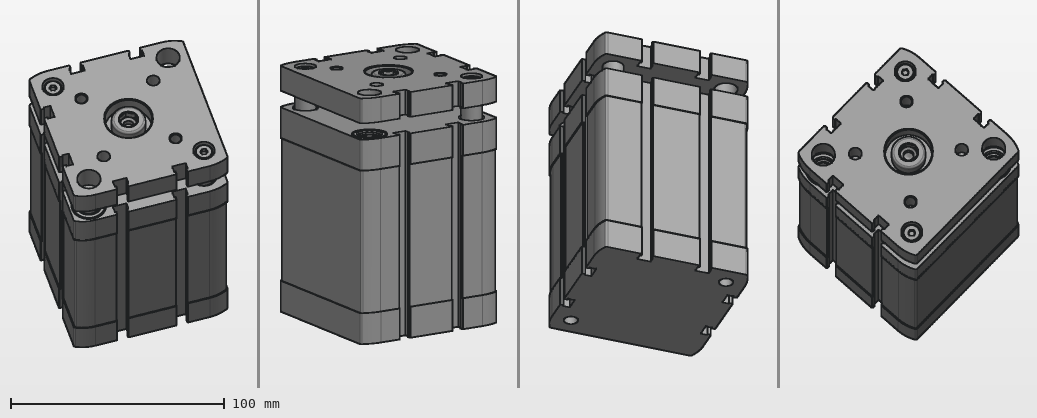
import cadquery as cq
import math

TOTAL_HEIGHT = 119.0
PLATE_THICKNESS = 12.0
PLATE_GAP = 8.0
CAP_HEIGHT = 15.0
PLATE_BOTTOM = TOTAL_HEIGHT - PLATE_THICKNESS
HOUSING_HEIGHT = PLATE_BOTTOM - PLATE_GAP

SIDE = 75.5
BARREL_INSET = 0.5
CORNER_START = 28.1
CORNER_RADIUS = 20.2
CORNER_BLEND = 1.2

SLOT_OFFSET = 14.5
SLOT_DEPTH = 5.0
NECK_WIDTH = 5.2
NECK_DEPTH = 1.8
SLOT_WIDTH = 6.7
NECK_CHAMFER = 0.4

ROD_OFFSET = 28.2
GUIDE_DIAMETER = 10.0
GUIDE_HEAD_DIAMETER = 8.5
GUIDE_HEAD_HEIGHT = 5.0
GUIDE_HEAD_CHAMFER = 0.5
GUIDE_RECESS = 1.0
GUIDE_SOCKET_FLATS = 3.0
GUIDE_SOCKET_DEPTH = 2.0
GUIDE_SOCKET_TURN = 15.0
GUIDE_HOLE_RIM = 12.0
ROD_DEPTH = CAP_HEIGHT

PISTON_ROD_DIAMETER = 16.0
PISTON_ROD_ROUNDING = 1.1
PISTON_ROD_RECESS = 0.7
WRENCH_FLATS = 13.0
WRENCH_FLAT_BASE = 0.7
WRENCH_RUNOUT_RISE = 0.5
PISTON_SOCKET_FLATS = 8.0
PISTON_SOCKET_DEPTH = 3.7
PISTON_SOCKET_MOUTH = 9.2
PISTON_DRILL_DIAMETER = 5.0
PISTON_DRILL_DEPTH = 7.1
DRILL_HALF_ANGLE = math.radians(59)

BORE_DIAMETER = 22.0
BORE_DEPTH = 7.6
BORE_CHAMFER = 0.5
ACCESS_DIAMETER = 11.0
SMALL_OFFSET = 17.6
SMALL_DIAMETER = 6.0
THREAD_DIAMETER = 5.0

GROOVE_OUTER_DIAMETER = 16.4
GROOVE_INNER_DIAMETER = 15.5
GROOVE_DEPTH = 0.5
SCREW_BORE_DIAMETER = 10.6
SCREW_BORE_RIM = 12.0
SCREW_BORE_DEPTH = 1.7
SCREW_POCKET_DIAMETER = 8.5
SCREW_POCKET_DEPTH = 3.5
SCREW_HOLE_DIAMETER = 6.7

GUIDE_DIAGONAL = [(1, 1), (-1, -1)]
SCREW_DIAGONAL = [(-1, 1), (1, -1)]


def on_diagonal(signs, offset):
    return [(sx * offset, sy * offset) for sx, sy in signs]


def cylinder(x, y, diameter, bottom, top):
    return cq.Workplane("XY", origin=(x, y, bottom)).circle(diameter / 2).extrude(top - bottom)


def cone(x, y, bottom_diameter, top_diameter, bottom, top):
    solid = cq.Solid.makeCone(
        bottom_diameter / 2, top_diameter / 2, top - bottom, cq.Vector(x, y, bottom)
    )
    return cq.Workplane(solid)


def countersink(x, y, hole_diameter, mouth_diameter, top):
    depth = (mouth_diameter - hole_diameter) / 2
    return cone(x, y, hole_diameter, mouth_diameter, top - depth, top)


def hexagon(x, y, flats, bottom, top, turn=0):
    plane = cq.Workplane("XY", origin=(x, y, bottom)).transformed(rotate=(0, 0, turn))
    return plane.polygon(6, flats / math.cos(math.pi / 6)).extrude(top - bottom)


def slot_cutter(inset, bottom, top):
    """T-slot for a -Y side that stands back by inset, centred on X = 0."""
    outside = -SIDE / 2
    face = outside + inset
    neck = NECK_WIDTH / 2
    half = SLOT_WIDTH / 2
    right = [
        (neck + NECK_CHAMFER, face),
        (neck, face + NECK_CHAMFER),
        (neck, outside + NECK_DEPTH),
        (half, outside + NECK_DEPTH),
        (half, outside + SLOT_DEPTH),
    ]
    left = [(-x, y) for x, y in reversed(right)]
    return cq.Workplane("XY", origin=(0, 0, bottom)).polyline(right + left).close().extrude(top - bottom)


def cut_slots(block, inset, bottom, top):
    """Two slots in each of the -X, -Y and +X sides."""
    for side_angle in (-90, 0, 90):
        for offset in (-SLOT_OFFSET, SLOT_OFFSET):
            cutter = slot_cutter(inset, bottom, top).translate((offset, 0, 0))
            block = block.cut(cutter.rotate((0, 0, 0), (0, 0, 1), side_angle))
    return block


def section_block(inset, bottom, top):
    """Slotted block with the square section, moved inward by inset on all sides."""
    half = SIDE / 2 - inset
    radius = CORNER_RADIUS - inset
    full_rise = half - CORNER_START

    def arc_x(rise):
        return half - radius + math.sqrt(radius**2 - rise**2)

    end_x = arc_x(full_rise)
    mid_rise = full_rise / 2
    mid_x = arc_x(mid_rise)
    block = (
        cq.Workplane("XY", origin=(0, 0, bottom))
        .moveTo(half, -CORNER_START)
        .lineTo(half, CORNER_START)
        .threePointArc((mid_x, CORNER_START + mid_rise), (end_x, half))
        .lineTo(-end_x, half)
        .threePointArc((-mid_x, CORNER_START + mid_rise), (-half, CORNER_START))
        .lineTo(-half, -CORNER_START)
        .threePointArc((-mid_x, -CORNER_START - mid_rise), (-end_x, -half))
        .lineTo(end_x, -half)
        .threePointArc((mid_x, -CORNER_START - mid_rise), (half, -CORNER_START))
        .close()
        .extrude(top - bottom)
    )
    block = block.faces(">Y or <Y").edges("|Z").fillet(CORNER_BLEND)
    return cut_slots(block, inset, bottom, top)


def guide_rod(x, y):
    top = TOTAL_HEIGHT - GUIDE_RECESS
    shoulder = top - GUIDE_HEAD_HEIGHT
    rod = cylinder(x, y, GUIDE_DIAMETER, HOUSING_HEIGHT - ROD_DEPTH, shoulder)
    head = cylinder(x, y, GUIDE_HEAD_DIAMETER, shoulder, top)
    rod = rod.union(head.faces(">Z").chamfer(GUIDE_HEAD_CHAMFER))
    socket_floor = top - GUIDE_SOCKET_DEPTH
    return rod.cut(hexagon(x, y, GUIDE_SOCKET_FLATS, socket_floor, top, GUIDE_SOCKET_TURN))


def wrench_flat_cutter():
    """Removes the -Y side of the piston rod between the housing and the plate."""
    base = HOUSING_HEIGHT + WRENCH_FLAT_BASE
    flat = -WRENCH_FLATS / 2
    outer = -PISTON_ROD_DIAMETER / 2
    outline = [
        (flat, PLATE_BOTTOM),
        (flat, base + WRENCH_RUNOUT_RISE),
        (outer, base),
        (outer, PLATE_BOTTOM),
    ]
    return cq.Workplane("YZ").polyline(outline).close().extrude(PISTON_ROD_DIAMETER / 2, both=True)


def piston_rod():
    top = TOTAL_HEIGHT - PISTON_ROD_RECESS
    rod = cylinder(0, 0, PISTON_ROD_DIAMETER, HOUSING_HEIGHT - ROD_DEPTH, top)
    rod = rod.faces(">Z").edges().fillet(PISTON_ROD_ROUNDING)
    flat = wrench_flat_cutter()
    rod = rod.cut(flat).cut(flat.mirror("XZ"))

    floor = top - PISTON_SOCKET_DEPTH
    drill_end = top - PISTON_DRILL_DEPTH
    floor_tip = floor - PISTON_SOCKET_FLATS / 2 / math.tan(DRILL_HALF_ANGLE)
    drill_tip = drill_end - PISTON_DRILL_DIAMETER / 2 / math.tan(DRILL_HALF_ANGLE)
    rod = rod.cut(hexagon(0, 0, PISTON_SOCKET_FLATS, floor, top))
    rod = rod.cut(countersink(0, 0, PISTON_SOCKET_FLATS, PISTON_SOCKET_MOUTH, top))
    rod = rod.cut(cone(0, 0, 0, PISTON_SOCKET_FLATS, floor_tip, floor))
    rod = rod.cut(cylinder(0, 0, PISTON_DRILL_DIAMETER, drill_end, floor))
    return rod.cut(cone(0, 0, 0, PISTON_DRILL_DIAMETER, drill_tip, drill_end))


def yoke_plate():
    plate = section_block(0, PLATE_BOTTOM, TOTAL_HEIGHT)
    plate = plate.cut(cylinder(0, 0, BORE_DIAMETER, TOTAL_HEIGHT - BORE_DEPTH, TOTAL_HEIGHT))
    plate = plate.cut(cylinder(0, 0, PISTON_ROD_DIAMETER, PLATE_BOTTOM, TOTAL_HEIGHT))
    plate = plate.cut(countersink(0, 0, BORE_DIAMETER, BORE_DIAMETER + 2 * BORE_CHAMFER, TOTAL_HEIGHT))
    for x, y in on_diagonal(SCREW_DIAGONAL, ROD_OFFSET):
        plate = plate.cut(cylinder(x, y, ACCESS_DIAMETER, PLATE_BOTTOM, TOTAL_HEIGHT))
    for x, y in on_diagonal(SCREW_DIAGONAL, SMALL_OFFSET):
        plate = plate.cut(cylinder(x, y, SMALL_DIAMETER, PLATE_BOTTOM, TOTAL_HEIGHT))
    for x, y in on_diagonal(GUIDE_DIAGONAL, SMALL_OFFSET):
        plate = plate.cut(cylinder(x, y, THREAD_DIAMETER, PLATE_BOTTOM, TOTAL_HEIGHT))
        plate = plate.cut(countersink(x, y, THREAD_DIAMETER, SMALL_DIAMETER, TOTAL_HEIGHT))
    for x, y in on_diagonal(GUIDE_DIAGONAL, ROD_OFFSET):
        plate = plate.cut(cylinder(x, y, GUIDE_DIAMETER, PLATE_BOTTOM, TOTAL_HEIGHT))
    return plate


def make_slider():
    """Moving body: plate with its two guide rods and the piston rod."""
    slider = yoke_plate().union(piston_rod())
    for x, y in on_diagonal(GUIDE_DIAGONAL, ROD_OFFSET):
        slider = slider.union(guide_rod(x, y))
    return slider


def cut_screw_hole(housing, x, y):
    top = HOUSING_HEIGHT
    bore_floor = top - SCREW_BORE_DEPTH
    pocket_floor = top - SCREW_POCKET_DEPTH
    groove = cylinder(x, y, GROOVE_OUTER_DIAMETER, top - GROOVE_DEPTH, top)
    groove = groove.cut(cylinder(x, y, GROOVE_INNER_DIAMETER, top - GROOVE_DEPTH, top))
    housing = housing.cut(groove)
    housing = housing.cut(cylinder(x, y, SCREW_BORE_DIAMETER, bore_floor, top))
    housing = housing.cut(countersink(x, y, SCREW_BORE_DIAMETER, SCREW_BORE_RIM, top))
    housing = housing.cut(cylinder(x, y, SCREW_POCKET_DIAMETER, pocket_floor, bore_floor))
    housing = housing.cut(countersink(x, y, SCREW_HOLE_DIAMETER, SCREW_POCKET_DIAMETER, pocket_floor))
    return housing.cut(cylinder(x, y, SCREW_HOLE_DIAMETER, 0, pocket_floor))


def make_housing():
    """Fixed body: barrel between two end caps."""
    housing = section_block(0, 0, CAP_HEIGHT)
    housing = housing.union(section_block(BARREL_INSET, CAP_HEIGHT, HOUSING_HEIGHT - CAP_HEIGHT))
    housing = housing.union(section_block(0, HOUSING_HEIGHT - CAP_HEIGHT, HOUSING_HEIGHT))
    for x, y in on_diagonal(SCREW_DIAGONAL, ROD_OFFSET):
        housing = cut_screw_hole(housing, x, y)
    rod_floor = HOUSING_HEIGHT - ROD_DEPTH
    for x, y in on_diagonal(GUIDE_DIAGONAL, ROD_OFFSET):
        housing = housing.cut(cylinder(x, y, GUIDE_DIAMETER, rod_floor, HOUSING_HEIGHT))
        housing = housing.cut(countersink(x, y, GUIDE_DIAMETER, GUIDE_HOLE_RIM, HOUSING_HEIGHT))
    return housing.cut(cylinder(0, 0, PISTON_ROD_DIAMETER, rod_floor, HOUSING_HEIGHT))


housing = make_housing()
slider = make_slider()

result = cq.Compound.makeCompound([housing.val(), slider.val()])